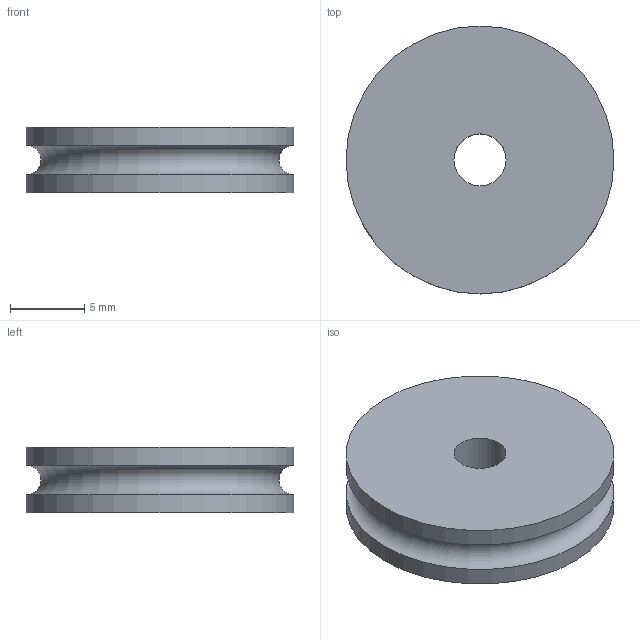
import cadquery as cq

outer_diameter = 18.0
thickness = 4.4
bore_diameter = 3.5
groove_radius = 1.0

outer_radius = outer_diameter / 2
bore_radius = bore_diameter / 2
half_thickness = thickness / 2
groove_floor_radius = outer_radius - groove_radius


def pulley_half_section():
    """Section on the -X side of the axis, with a semicircular groove in the rim."""
    return (
        cq.Workplane("XZ")
        .moveTo(-bore_radius, -half_thickness)
        .lineTo(-outer_radius, -half_thickness)
        .lineTo(-outer_radius, -groove_radius)
        .radiusArc((-groove_floor_radius, 0), -groove_radius)
        .radiusArc((-outer_radius, groove_radius), -groove_radius)
        .lineTo(-outer_radius, half_thickness)
        .lineTo(-bore_radius, half_thickness)
        .close()
    )


result = pulley_half_section().revolve(360, (0, 0, 0), (0, 1, 0))